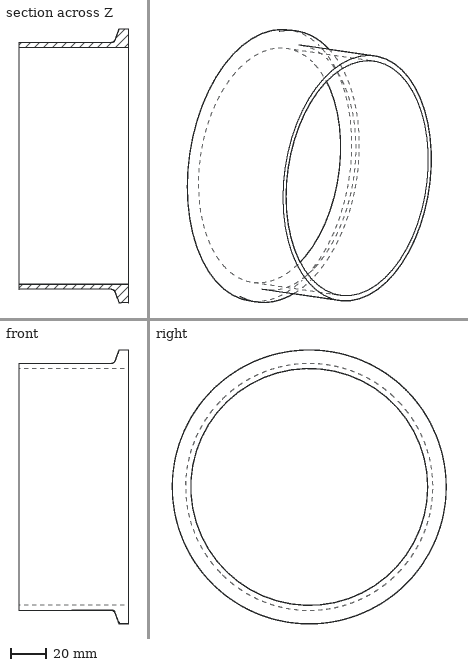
import cadquery as cq
import math

length = 62.0
bore_diameter = 133.8
tube_diameter = 139.8
flange_diameter = 155.0
rim_width = 5.5
taper_angle = 20.0
root_radius = 2.0
rim_radius = 0.8

bore_r = bore_diameter / 2
tube_r = tube_diameter / 2
flange_r = flange_diameter / 2
rim_x = length - rim_width
root_x = rim_x - (flange_r - tube_r) * math.tan(math.radians(taper_angle))

body = (
    cq.Workplane("XY")
    .moveTo(0, bore_r)
    .lineTo(0, tube_r)
    .lineTo(root_x, tube_r)
    .lineTo(rim_x, flange_r)
    .lineTo(length, flange_r)
    .lineTo(length, bore_r)
    .close()
    .revolve(360, (0, 0, 0), (1, 0, 0))
)


def round_circle(part, x, radius, fillet_radius):
    """Fillet the circular edge that crosses the XY plane at (x, radius)."""
    circles = part.edges("%CIRCLE").filter(lambda e: abs(e.radius() - radius) < 0.02)
    return circles.filter(lambda e: abs(e.Center().x - x) < 0.02).fillet(fillet_radius)


result = round_circle(body, root_x, tube_r, root_radius)
result = round_circle(result, rim_x, flange_r, rim_radius)